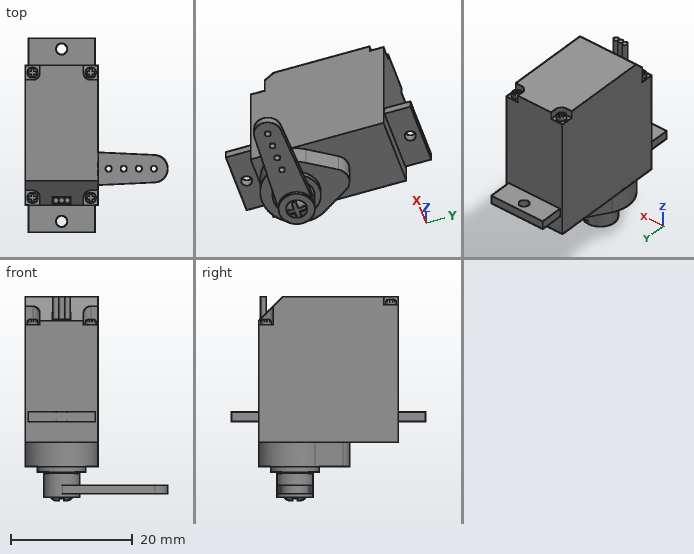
import cadquery as cq
import math


CASE_WIDTH = 12.0
CASE_DEPTH = 23.0
CASE_HEIGHT = 24.0
SHAFT_TO_FRONT = CASE_WIDTH / 2
FRONT_Y = -SHAFT_TO_FRONT
BACK_Y = FRONT_Y + CASE_DEPTH
MIDDLE_Y = (FRONT_Y + BACK_Y) / 2
CHAMFER = 4.0

LUG_SPAN = 32.0
LUG_WIDTH = 11.0
LUG_THICKNESS = 1.6
LUG_BOTTOM_Z = 3.43
LUG_HOLE_SPACING = 28.35
LUG_HOLE_DIAMETER = 1.8

POCKET_SIZE = 2.42
POCKET_RADIUS = 1.2
FRONT_POCKET_DEPTH = 4.6
BACK_POCKET_DEPTH = 1.35
SCREW_INSET = 1.2
SCREW_RADIUS = 0.87
SCREW_HEIGHT = 0.87
SCREW_EDGE_RADIUS = 0.5
CROSS_LENGTH = 1.2
CROSS_WIDTH = 0.47
CROSS_DEPTH = 0.35

WIRE_COUNT = 3
WIRE_DIAMETER = 0.97
WIRE_SPACING = 0.95
NOTCH_WIDTH = 3.02
NOTCH_LENGTH = 1.1
NOTCH_FRONT_GAP = 0.25

BOSS_HEIGHT = 4.0
BOSS_RADIUS = CASE_WIDTH / 2
BOSS_TAIL_RADIUS = 2.5
BOSS_LENGTH = 15.02
COLLAR_DIAMETER = 8.0
COLLAR_HEIGHT = 0.9
SHAFT_DIAMETER = 4.37
SHAFT_GAP = 0.17

HUB_RADIUS = 3.0
HUB_HEIGHT = 3.95
ARM_LENGTH = 15.2
ARM_TIP_RADIUS = 2.3
ARM_THICKNESS = 1.45
ARM_LIFT = 0.57
ARM_HOLE_COUNT = 4
ARM_HOLE_SPACING = 2.5
ARM_HOLE_DIAMETER = 0.97

HEAD_RADIUS = 1.75
HEAD_FLAT_RADIUS = 0.8
HEAD_HEIGHT = 0.57
HEAD_SLOT_WIDTH = 0.77
HEAD_SLOT_DEPTH = 0.35

BOSS_BOTTOM_Z = -BOSS_HEIGHT
COLLAR_BOTTOM_Z = BOSS_BOTTOM_Z - COLLAR_HEIGHT
HUB_TOP_Z = COLLAR_BOTTOM_Z - SHAFT_GAP
HUB_BOTTOM_Z = HUB_TOP_Z - HUB_HEIGHT


def box(width, depth, height, center_x, center_y, bottom_z):
    """Upright box placed by the middle of its bottom face."""
    block = cq.Workplane("XY").box(width, depth, height, centered=(True, True, False))
    return block.translate((center_x, center_y, bottom_z))


def cylinder(radius, height, center_x, center_y, bottom_z):
    """Upright cylinder placed by the middle of its bottom face."""
    rod = cq.Workplane("XY").circle(radius).extrude(height)
    return rod.translate((center_x, center_y, bottom_z))


def tapered_link(big_radius, small_radius, distance, height):
    """Plate around two circles along +X, joined by their common tangents."""
    sine = (big_radius - small_radius) / distance
    cosine = math.sqrt(1 - sine**2)
    big_tangent = (big_radius * sine, big_radius * cosine)
    small_tangent = (distance + small_radius * sine, small_radius * cosine)
    return (
        cq.Workplane("XY")
        .moveTo(big_tangent[0], -big_tangent[1])
        .lineTo(small_tangent[0], -small_tangent[1])
        .threePointArc((distance + small_radius, 0), small_tangent)
        .lineTo(*big_tangent)
        .threePointArc((-big_radius, 0), (big_tangent[0], -big_tangent[1]))
        .close()
        .extrude(height)
    )


def cross_cutter(length, width, depth):
    """Plus-shaped block with its bottom face at z = 0."""
    bar = box(length, width, depth, 0, 0, 0)
    return bar.union(box(width, length, depth, 0, 0, 0))


def case_screw():
    """Round-edged screw head with a cross recess, seated at z = 0."""
    head = cq.Workplane("XY").circle(SCREW_RADIUS).extrude(SCREW_HEIGHT)
    head = head.faces(">Z").edges().fillet(SCREW_EDGE_RADIUS)
    recess = cross_cutter(CROSS_LENGTH, CROSS_WIDTH, CROSS_DEPTH)
    return head.cut(recess.translate((0, 0, SCREW_HEIGHT - CROSS_DEPTH)))


def corner_pocket(x_side, corner_y, y_side, depth):
    """Block that clears one top corner; only its inward vertical edge is rounded."""
    block = box(
        POCKET_SIZE,
        POCKET_SIZE,
        depth,
        x_side * (CASE_WIDTH - POCKET_SIZE) / 2,
        corner_y - y_side * POCKET_SIZE / 2,
        CASE_HEIGHT - depth,
    )
    inward_x = "<X" if x_side > 0 else ">X"
    inward_y = "<Y" if y_side > 0 else ">Y"
    return block.faces(inward_x).edges(inward_y).fillet(POCKET_RADIUS)


def add_corners(case):
    """Cut the four corner pockets and set a screw in each."""
    corner_rows = ((FRONT_Y, -1, FRONT_POCKET_DEPTH), (BACK_Y, 1, BACK_POCKET_DEPTH))
    for corner_y, y_side, depth in corner_rows:
        screw_y = corner_y - y_side * SCREW_INSET
        for x_side in (-1, 1):
            screw_x = x_side * (CASE_WIDTH / 2 - SCREW_INSET)
            case = case.cut(corner_pocket(x_side, corner_y, y_side, depth))
            case = case.union(case_screw().translate((screw_x, screw_y, CASE_HEIGHT - depth)))
    return case


def add_lugs(case):
    """Add a drilled mounting plate that sticks out at the front and back."""
    lugs = box(LUG_WIDTH, LUG_SPAN, LUG_THICKNESS, 0, MIDDLE_Y, LUG_BOTTOM_Z)
    for side in (-1, 1):
        hole_y = MIDDLE_Y + side * LUG_HOLE_SPACING / 2
        lugs = lugs.cut(cylinder(LUG_HOLE_DIAMETER / 2, LUG_THICKNESS, 0, hole_y, LUG_BOTTOM_Z))
    return case.union(lugs)


def add_wires(case):
    """Cut the wire notch into the sloping face and stand the wires on its floor."""
    floor_z = CASE_HEIGHT - CHAMFER + NOTCH_FRONT_GAP
    wire_length = CASE_HEIGHT - floor_z
    notch_y = FRONT_Y + NOTCH_FRONT_GAP + NOTCH_LENGTH / 2
    case = case.cut(box(NOTCH_WIDTH, NOTCH_LENGTH, wire_length, 0, notch_y, floor_z))
    for index in range(WIRE_COUNT):
        wire_x = (index - (WIRE_COUNT - 1) / 2) * WIRE_SPACING
        case = case.union(cylinder(WIRE_DIAMETER / 2, wire_length, wire_x, notch_y, floor_z))
    return case


def add_output(case):
    """Add the gear boss, the bearing collar and the stub of the output shaft."""
    tail_distance = BOSS_LENGTH - BOSS_RADIUS - BOSS_TAIL_RADIUS
    boss = tapered_link(BOSS_RADIUS, BOSS_TAIL_RADIUS, tail_distance, BOSS_HEIGHT)
    boss = boss.rotate((0, 0, 0), (0, 0, 1), 90).translate((0, 0, BOSS_BOTTOM_Z))
    collar = cylinder(COLLAR_DIAMETER / 2, COLLAR_HEIGHT, 0, 0, COLLAR_BOTTOM_Z)
    shaft = cylinder(SHAFT_DIAMETER / 2, SHAFT_GAP, 0, 0, HUB_TOP_Z)
    return case.union(boss).union(collar).union(shaft)


def make_case():
    """Servo case with its lugs, case screws, wires and output shaft."""
    case = box(CASE_WIDTH, CASE_DEPTH, CASE_HEIGHT, 0, MIDDLE_Y, 0)
    case = case.faces(">Z").edges("<Y").chamfer(CHAMFER)
    case = add_lugs(case)
    case = add_corners(case)
    case = add_wires(case)
    return add_output(case)


def make_horn():
    """Hub on the output shaft with one tapered, drilled arm along +X."""
    hub = cylinder(HUB_RADIUS, HUB_HEIGHT, 0, 0, HUB_BOTTOM_Z)
    arm_z = HUB_BOTTOM_Z + ARM_LIFT
    arm = tapered_link(HUB_RADIUS, ARM_TIP_RADIUS, ARM_LENGTH, ARM_THICKNESS).translate((0, 0, arm_z))
    horn = hub.union(arm)
    for index in range(ARM_HOLE_COUNT):
        hole_x = ARM_LENGTH - index * ARM_HOLE_SPACING
        horn = horn.cut(cylinder(ARM_HOLE_DIAMETER / 2, ARM_THICKNESS, hole_x, 0, arm_z))
    return horn


def make_horn_screw():
    """Low domed head under the hub: a flat tip, a round flank and crossed slots."""
    flank_width = HEAD_RADIUS - HEAD_FLAT_RADIUS
    flank_radius = (flank_width**2 + HEAD_HEIGHT**2) / (2 * HEAD_HEIGHT)
    half_angle = math.asin(flank_width / flank_radius) / 2
    flank_middle = (
        HEAD_FLAT_RADIUS + flank_radius * math.sin(half_angle),
        -HEAD_HEIGHT + flank_radius * (1 - math.cos(half_angle)),
    )
    head = (
        cq.Workplane("XZ")
        .lineTo(HEAD_RADIUS, 0)
        .threePointArc(flank_middle, (HEAD_FLAT_RADIUS, -HEAD_HEIGHT))
        .lineTo(0, -HEAD_HEIGHT)
        .close()
        .revolve(360, (0, 0, 0), (0, 1, 0))
    )
    slots = cross_cutter(2 * HEAD_RADIUS, HEAD_SLOT_WIDTH, HEAD_SLOT_DEPTH)
    head = head.cut(slots.translate((0, 0, -HEAD_HEIGHT)))
    return head.translate((0, 0, HUB_BOTTOM_Z))


case = make_case().solids()
horn = make_horn().solids()
horn_screw = make_horn_screw().solids()

result = cq.Compound.makeCompound([case.val(), horn.val(), horn_screw.val()])